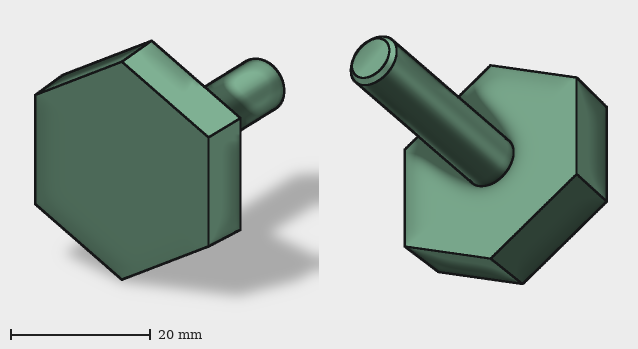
import cadquery as cq
import math

total_length = 38.0
head_thickness = 8.0
head_across_flats = 30.0
head_draft_angle = 2.5
stud_diameter = 8.0
tip_chamfer = 0.75

stud_length = total_length - head_thickness
head_across_corners = head_across_flats / math.cos(math.radians(30))


def make_head():
    """Tapered hexagon from y = 0 toward -Y, with corners pointing up and down."""
    return (
        cq.Workplane("XZ")
        .transformed(rotate=(0, 0, 90))
        .polygon(6, head_across_corners)
        .extrude(head_thickness, taper=head_draft_angle)
    )


def make_stud():
    """Round stud from y = 0 toward +Y, with a chamfered tip."""
    return (
        cq.Workplane("XZ")
        .circle(stud_diameter / 2)
        .extrude(-stud_length)
        .faces(">Y")
        .chamfer(tip_chamfer)
    )


result = make_head().union(make_stud())